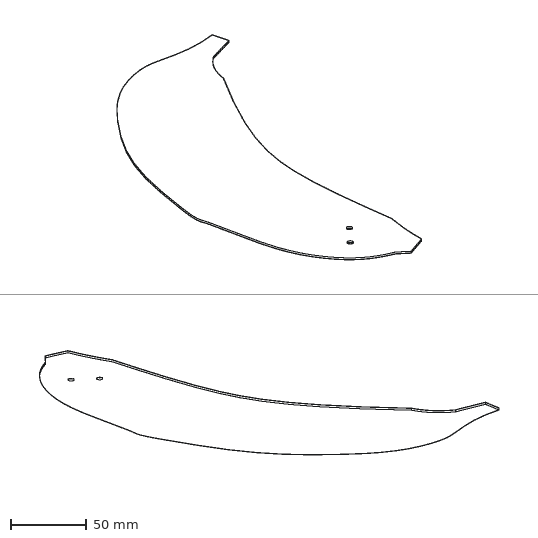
import cadquery as cq

length = 312.5
height = 141.0
thickness = 1.5

stem_left = (0.0, 135.3)
stem_right = (12.2, height)
tail_top = (302.2, 115.3)
tail_tip = (length, 101.0)
tail_notch = (308.0, 91.5)

stem_neck = (25.3, 121.0)
stem_shoulder = (39.0, 113.8)
back_start = (53.0, 112.2)
back_low = (159.5, 87.5)
back_end = (268.8, 112.2)
back_curve = [(100.0, 97.0), back_low, (218.8, 97.2)]
tail_shoulder = (287.5, 113.0)

belly_low = (159.5, 0.0)
belly_right = [(304.5, 72.8), (288.0, 47.5), (253.0, 23.0), (211.0, 6.0)]
belly_left = [(104.7, 7.0), (62.5, 24.5), (28.8, 49.0), (13.5, 74.7)]
stem_base = (10.0, 100.0)
stem_bend = (7.0, 117.0)

hole_diameter = 4.0
hole_centers = [(265.0, 82.0), (281.5, 72.5)]


def banana_outline():
    """Closed banana outline, drawn clockwise from the stem."""
    return (
        cq.Workplane("XY")
        .moveTo(*stem_left)
        .lineTo(*stem_right)
        .lineTo(*stem_neck)
        .spline([stem_shoulder, back_start], includeCurrent=True)
        .spline(back_curve + [back_end], includeCurrent=True)
        .spline([tail_shoulder, tail_top], includeCurrent=True)
        .lineTo(*tail_tip)
        .lineTo(*tail_notch)
        .spline(belly_right + [belly_low], tangents=[(-0.1, -1), (-1, 0)], includeCurrent=True)
        .spline(belly_left + [stem_base], tangents=[(-1, 0), (-0.1, 1)], includeCurrent=True)
        .spline([stem_bend, stem_left], includeCurrent=True)
        .close()
    )


plate = banana_outline().extrude(thickness)
holes = cq.Workplane("XY").pushPoints(hole_centers).circle(hole_diameter / 2).extrude(thickness)

result = plate.cut(holes)